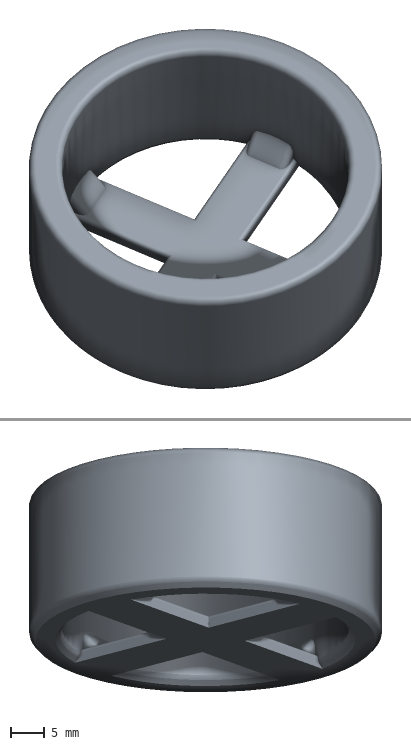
import cadquery as cq

OUTER_DIAMETER = 53.0
INNER_DIAMETER = 43.0
HEIGHT = 22.0
RIM_FILLET = 1.0
BASE_CHAMFER = 1.0
BASE_FILLET = 1.0

BAR_WIDTH = 8.4
BAR_THICKNESS = 2.0
BAR_FILLET = 0.6

LUG_COUNT = 4
LUG_WIDTH = 7.0
LUG_TOE_RADIUS = 18.5
LUG_FILLET = 1.0

OUTER_RADIUS = OUTER_DIAMETER / 2
INNER_RADIUS = INNER_DIAMETER / 2
ROOT_RADIUS = (OUTER_RADIUS + INNER_RADIUS) / 2


def make_ring():
    """Round tube with rounded top rims and chamfered bottom rims blended into the walls."""
    ring = cq.Workplane("XY").circle(OUTER_RADIUS).circle(INNER_RADIUS).extrude(HEIGHT)
    ring = ring.faces(">Z").edges().fillet(RIM_FILLET)
    ring = ring.faces("<Z").edges().chamfer(BASE_CHAMFER)
    chamfer_top = cq.selectors.BoxSelector(
        (-OUTER_DIAMETER, -OUTER_DIAMETER, BASE_CHAMFER / 2),
        (OUTER_DIAMETER, OUTER_DIAMETER, BASE_CHAMFER * 3 / 2),
        boundingbox=True,
    )
    return ring.edges(chamfer_top).fillet(BASE_FILLET)


def make_cross():
    """Two crossing bars with rounded upper edges."""
    length = 2 * ROOT_RADIUS
    on_base = (True, True, False)
    along_x = cq.Workplane("XY").box(length, BAR_WIDTH, BAR_THICKNESS, centered=on_base)
    along_y = cq.Workplane("XY").box(BAR_WIDTH, length, BAR_THICKNESS, centered=on_base)
    cross = along_x.union(along_y)
    return cross.faces(">Z").edges().fillet(BAR_FILLET)


def make_lug():
    """Wedge on the +X bar end with rounded sloping edges."""
    rise = ROOT_RADIUS - LUG_TOE_RADIUS
    profile = [
        (LUG_TOE_RADIUS, BAR_THICKNESS),
        (ROOT_RADIUS, BAR_THICKNESS),
        (ROOT_RADIUS, BAR_THICKNESS + rise),
    ]
    wedge = cq.Workplane("XZ").polyline(profile).close().extrude(LUG_WIDTH / 2, both=True)
    sloping_edges = wedge.edges("not(|X or |Y or |Z)")
    return sloping_edges.fillet(LUG_FILLET)


result = make_ring().union(make_cross())
lug = make_lug()
for index in range(LUG_COUNT):
    angle = index * 360 / LUG_COUNT
    result = result.union(lug.rotate((0, 0, 0), (0, 0, 1), angle))